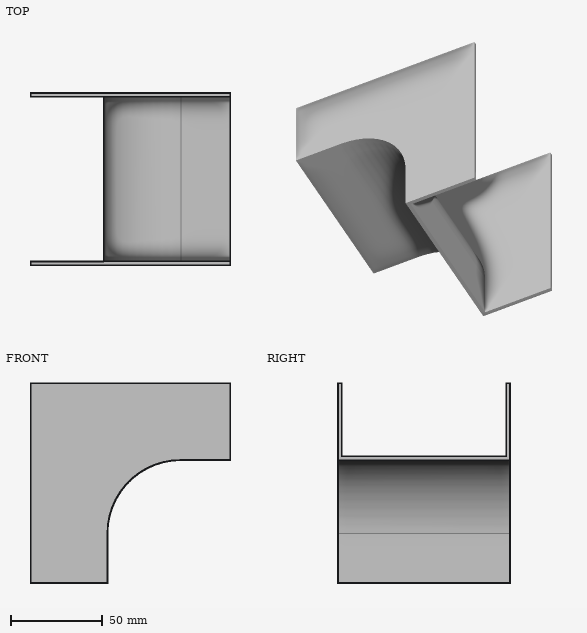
import cadquery as cq

overall_length = 109.5
clear_width = 90.0
duct_depth = 40.0
wall = 2.2
bend_inner_radius = 40.0

overall_width = clear_width + 2 * wall
half = overall_length / 2
bend_outer_radius = bend_inner_radius + wall


def bent_profile(depth, bend_radius):
    """Area beyond `depth` from the left and top edges, with a rounded corner (XZ plane).

    It is the region right of and below an L-shaped line whose corner is an arc.
    """
    left = depth - half
    top = half - depth
    return (
        cq.Workplane("XZ", origin=(0, overall_width / 2, 0))
        .moveTo(left, -half)
        .lineTo(left, top - bend_radius)
        .radiusArc((left + bend_radius, top), bend_radius)
        .lineTo(half, top)
        .lineTo(half, -half)
        .close()
        .extrude(overall_width)
    )


def make_duct_corner():
    block = cq.Workplane("XY").box(overall_length, overall_width, overall_length)
    behind_base = bent_profile(duct_depth + wall, bend_inner_radius)
    base_and_behind = bent_profile(duct_depth, bend_outer_radius)

    channel = cq.Workplane("XY").box(overall_length, clear_width, overall_length).cut(base_and_behind)
    return block.cut(behind_base).cut(channel)


result = make_duct_corner()